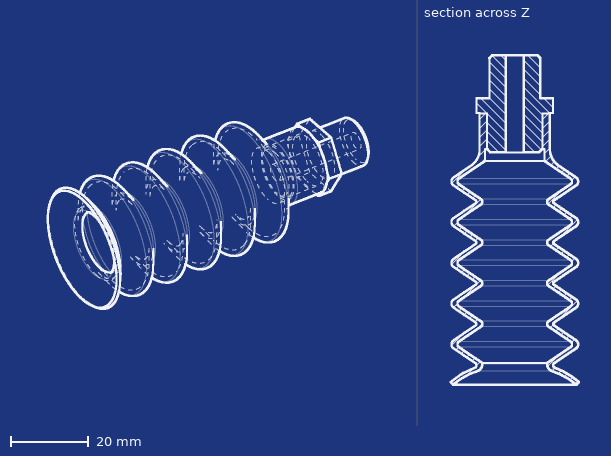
import cadquery as cq
import math


overall_length = 84.6
hex_back_y = 73.6
hex_front_y = 69.75
hex_across_corners = 19.7
stub_radius = 6.6
shank_radius = 7.0
end_chamfer = 0.72
air_hole_radius = 2.3

fold_count = 5
first_valley_y = 5.2
last_peak_y = 52.2
fold_pitch = (last_peak_y - first_valley_y) / (fold_count - 0.5)
fold_angle = math.radians(34)
peak_radius = 16.3
valley_radius = 9.9
throat_radius = 8.3
peak_rounding = 1.3
inner_rounding = 0.85

neck_radius = 9.05
neck_rounding = 5.1
neck_bore_radius = 7.6
shoulder_y = 60.4

lip_radius = 16.5
lip_edge_y = 0.72
lip_root_radius = 10.15
lip_root_y = 4.5
mouth_radius = 15.9
lip_bulge = 0.3
mouth_inner_radius = 9.6
mouth_inner_y = 3.5
mouth_rounding = 2.0

fold_slope = math.tan(fold_angle)
corner_cutback = 1 / math.sin(fold_angle) - 1
sharp_peak_radius = peak_radius + peak_rounding * corner_cutback
sharp_valley_radius = sharp_peak_radius - fold_pitch / 2 / fold_slope
valley_rounding = (valley_radius - sharp_valley_radius) / corner_cutback
sharp_throat_radius = throat_radius - inner_rounding * corner_cutback
wall_radial_thickness = sharp_valley_radius - sharp_throat_radius
sharp_inner_peak_radius = sharp_peak_radius - wall_radial_thickness


def peak_y(fold):
    return first_valley_y + (fold + 0.5) * fold_pitch


def point_towards(start, end, distance):
    """Point at the given distance from start on the line to end."""
    share = distance / math.dist(start, end)
    return tuple(a + share * (b - a) for a, b in zip(start, end))


def add_rounded_corner(outline, before, corner, after, radius):
    """Draw a line to the corner and an arc of the given radius around it."""
    to_before = math.atan2(before[1] - corner[1], before[0] - corner[0])
    to_after = math.atan2(after[1] - corner[1], after[0] - corner[0])
    half_angle = math.acos(math.cos(to_before - to_after)) / 2
    tangent_length = radius / math.tan(half_angle)
    arc_start = point_towards(corner, before, tangent_length)
    arc_end = point_towards(corner, after, tangent_length)
    chord_middle = tuple((a + b) / 2 for a, b in zip(arc_start, arc_end))
    arc_middle = point_towards(corner, chord_middle, radius / math.sin(half_angle) - radius)
    return outline.lineTo(*arc_start).threePointArc(arc_middle, arc_end)


def add_rounded_path(outline, corners):
    """Draw through (radius, y, rounding) corners; the first and last are plain path ends."""
    for before, corner, after in zip(corners, corners[1:], corners[2:]):
        outline = add_rounded_corner(outline, before[:2], corner[:2], after[:2], corner[2])
    return outline.lineTo(*corners[-1][:2])


def outer_fold_corners(fold_root):
    """Corners from the root of the first fold up to the top of the neck."""
    corners = [(*fold_root, 0)]
    for fold in range(fold_count):
        if fold > 0:
            corners.append((sharp_valley_radius, peak_y(fold) - fold_pitch / 2, valley_rounding))
        corners.append((sharp_peak_radius, peak_y(fold), peak_rounding))
    neck_start_y = last_peak_y + (sharp_peak_radius - neck_radius) * fold_slope
    corners.append((neck_radius, neck_start_y, neck_rounding))
    corners.append((neck_radius, hex_front_y, 0))
    return corners


def inner_fold_corners(throat_end):
    """Corners from the neck bore down to the throat at the mouth."""
    bore_end_y = last_peak_y + (sharp_inner_peak_radius - neck_bore_radius) * fold_slope
    corners = [(neck_bore_radius, bore_end_y, 0)]
    for fold in reversed(range(fold_count)):
        corners.append((sharp_inner_peak_radius, peak_y(fold), inner_rounding))
        if fold > 0:
            corners.append((sharp_throat_radius, peak_y(fold) - fold_pitch / 2, inner_rounding))
    corners.append(throat_end)
    return corners


def bulged_middle(start, end, bulge):
    """Middle of an arc from start to end that bows out to the right of that direction."""
    length = math.dist(start, end)
    across = ((end[1] - start[1]) / length, (start[0] - end[0]) / length)
    return tuple((a + b) / 2 + bulge * n for a, b, n in zip(start, end, across))


def make_bellows():
    lip_edge = (lip_radius, lip_edge_y)
    lip_root = (lip_root_radius, lip_root_y)
    fold_root = (
        valley_radius + valley_rounding * (1 - math.sin(fold_angle)),
        first_valley_y + valley_rounding * math.cos(fold_angle),
    )
    root_middle = (valley_radius, (lip_root[1] + fold_root[1]) / 2)
    outline = cq.Workplane("XY").moveTo(mouth_radius, 0).lineTo(*lip_edge)
    outline = outline.threePointArc(bulged_middle(lip_edge, lip_root, lip_bulge), lip_root)
    outline = outline.threePointArc(root_middle, fold_root)
    outline = add_rounded_path(outline, outer_fold_corners(fold_root))

    outline = outline.lineTo(shank_radius, hex_front_y).lineTo(shank_radius, shoulder_y)
    throat_end_y = first_valley_y + (throat_radius - sharp_throat_radius) * fold_slope
    inner_corners = inner_fold_corners((throat_radius, throat_end_y, 0))
    outline = outline.lineTo(neck_bore_radius, shoulder_y).lineTo(*inner_corners[0][:2])
    outline = add_rounded_path(outline, inner_corners)

    mouth_rim = (mouth_radius, 0)
    mouth_inner = (mouth_inner_radius, mouth_inner_y)
    mouth_slope = mouth_inner_y / (mouth_radius - mouth_inner_radius)
    throat_corner = (throat_radius, mouth_inner_y + (mouth_inner_radius - throat_radius) * mouth_slope)
    outline = add_rounded_corner(outline, inner_corners[-1][:2], throat_corner, mouth_inner, mouth_rounding)
    outline = outline.threePointArc(bulged_middle(mouth_inner, mouth_rim, -lip_bulge), mouth_rim)
    return outline.close().revolve(360, (0, 0), (0, 1))


def rod(radius, start_y, end_y):
    """Round bar along Y."""
    return cq.Workplane("XZ", origin=(0, start_y, 0)).circle(radius).extrude(start_y - end_y)


def make_fitting():
    shank_front_y = shoulder_y - end_chamfer
    stub = rod(stub_radius, hex_back_y, overall_length).faces(">Y").chamfer(end_chamfer)
    shank = rod(shank_radius, shank_front_y, hex_front_y).faces("<Y").chamfer(end_chamfer)
    hexagon = (
        cq.Workplane("XZ", origin=(0, hex_front_y, 0))
        .polygon(6, hex_across_corners)
        .extrude(hex_front_y - hex_back_y)
    )
    air_hole = rod(air_hole_radius, shank_front_y, overall_length)
    return hexagon.union(stub).union(shank).cut(air_hole)


bellows = make_bellows()
fitting = make_fitting()
result = cq.Compound.makeCompound([bellows.val(), fitting.solids().val()])